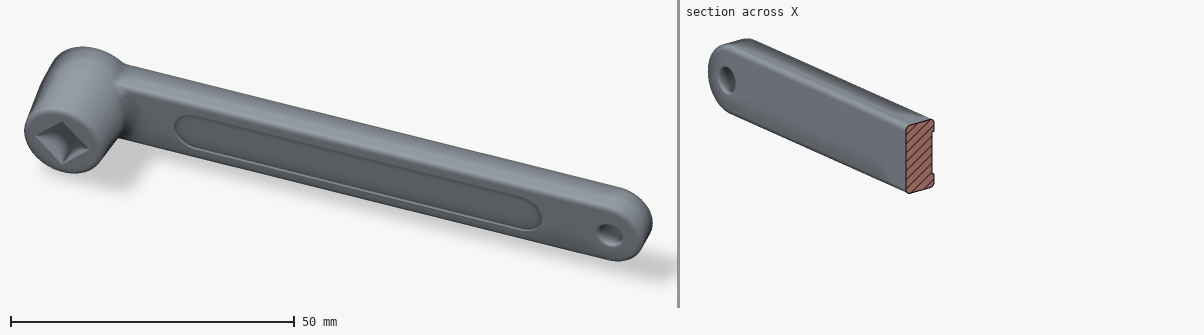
import cadquery as cq
import math

HUB_DIAMETER = 16.9
HUB_DEPTH = 17.3
HUB_TIP_DIAMETER = 14.8

TOTAL_LENGTH = 113.5
ARM_WIDTH = 12.9
ARM_THICKNESS = 6.5

SOCKET_SIDE = 7.3
HANGING_HOLE_DIAMETER = 4.5
HANGING_HOLE_LIP = 0.5
HANGING_HOLE_OFFSET = 0.5

RECESS_LENGTH = 69.2
RECESS_WIDTH = 8.0
RECESS_DEPTH = 0.5
RECESS_START = 17.0

EDGE_RADIUS = 1.0
NECK_RADIUS = 2.0

SELECT_MARGIN = 0.1

hub_radius = HUB_DIAMETER / 2
tip_radius = HUB_TIP_DIAMETER / 2
end_radius = ARM_WIDTH / 2
end_distance = TOTAL_LENGTH - hub_radius - end_radius
cut_length = HUB_DEPTH + EDGE_RADIUS



def make_hub():
    """Straight collar as deep as the arm, then a taper to the tip."""
    return (
        cq.Workplane("XY")
        .lineTo(hub_radius, 0)
        .lineTo(hub_radius, -ARM_THICKNESS)
        .lineTo(tip_radius, -HUB_DEPTH)
        .lineTo(0, -HUB_DEPTH)
        .close()
        .revolve(360, (0, 0, 0), (0, 1, 0))
    )


def make_arm():
    """Bar from the hub axis to the free end, its front outline rounded."""
    bar = (
        cq.Workplane("XZ")
        .moveTo(0, end_radius)
        .lineTo(end_distance, end_radius)
        .threePointArc((end_distance + end_radius, 0), (end_distance, -end_radius))
        .lineTo(0, -end_radius)
        .close()
        .extrude(ARM_THICKNESS)
    )
    return bar.faces("<Y").edges("not <X").fillet(EDGE_RADIUS)


def join_hub_and_arm():
    """Unite both parts, blend the neck and round the hub tip and the rear outline."""
    body = make_arm().union(make_hub())
    meeting_x = math.sqrt(hub_radius**2 - end_radius**2)
    neck = cq.selectors.BoxSelector(
        (meeting_x - SELECT_MARGIN, -ARM_THICKNESS - SELECT_MARGIN, -end_radius - SELECT_MARGIN),
        (hub_radius + SELECT_MARGIN, -SELECT_MARGIN, end_radius + SELECT_MARGIN),
    )
    body = body.edges(neck).fillet(NECK_RADIUS)
    body = body.faces("<Y").edges().fillet(EDGE_RADIUS)
    return body.faces(">Y").edges().fillet(EDGE_RADIUS)


def make_socket():
    """Square through cutter standing on its corner."""
    return (
        cq.Workplane("XZ")
        .transformed(rotate=(0, 0, 45))
        .rect(SOCKET_SIDE, SOCKET_SIDE)
        .extrude(cut_length)
    )


def make_hanging_hole():
    """Round through cutter, flared by a small rounding at both faces."""
    hole_radius = HANGING_HOLE_DIAMETER / 2
    mouth_radius = hole_radius + HANGING_HOLE_LIP
    lip_inset = HANGING_HOLE_LIP * (1 - math.sqrt(0.5))
    lip_radius = hole_radius + lip_inset
    return (
        cq.Workplane("XY", origin=(end_distance + HANGING_HOLE_OFFSET, 0, 0))
        .lineTo(mouth_radius, 0)
        .threePointArc((lip_radius, -lip_inset), (hole_radius, -HANGING_HOLE_LIP))
        .lineTo(hole_radius, HANGING_HOLE_LIP - ARM_THICKNESS)
        .threePointArc((lip_radius, lip_inset - ARM_THICKNESS), (mouth_radius, -ARM_THICKNESS))
        .lineTo(0, -ARM_THICKNESS)
        .close()
        .revolve(360, (0, 0, 0), (0, 1, 0))
    )


def make_recess():
    """Round-ended cutter for the shallow recess in the front face."""
    return (
        cq.Workplane("XZ", origin=(0, -ARM_THICKNESS, 0))
        .center(RECESS_START + RECESS_LENGTH / 2, 0)
        .slot2D(RECESS_LENGTH, RECESS_WIDTH)
        .extrude(-RECESS_DEPTH)
    )


result = (
    join_hub_and_arm()
    .cut(make_socket())
    .cut(make_hanging_hole())
    .cut(make_recess())
)